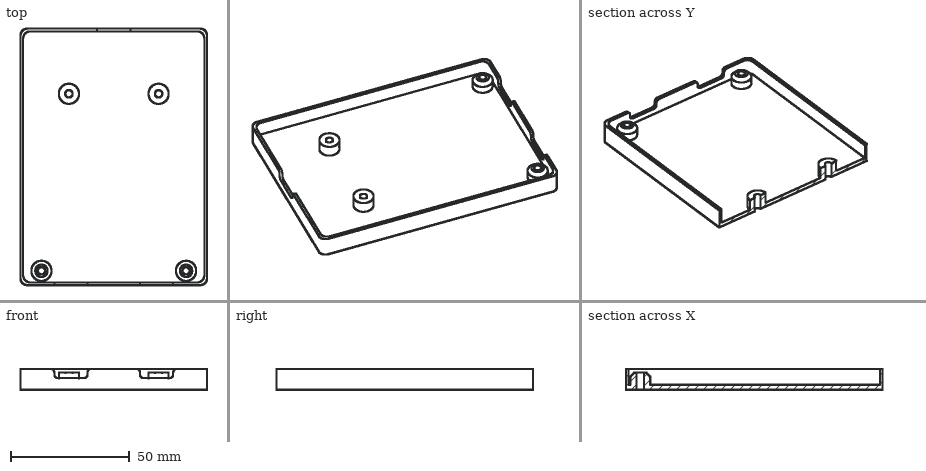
import cadquery as cq

LENGTH_X = 78.52
LENGTH_Y = 107.94
HEIGHT = 8.86
WALL = 1.2
FLOOR = 2.26
CORNER_RADIUS = 3.0

NOTCH_WIDTH = 14.0
NOTCH_DEPTH = 3.9
NOTCH_RADIUS = 1.5
FRONT_NOTCH_X = 18.0
BACK_NOTCH_X = 0.0

POST_DIAMETER = 8.5
HOLE_DIAMETER = 3.02
POST_HEIGHT = 5.0
BACK_POST_X = 18.85
BACK_POST_Y = 26.5
FRONT_POST_X = 30.4
FRONT_POST_Y = -47.9
FRONT_POST_CHAMFER = 1.65


def make_tray():
    """Open box with rounded vertical corners inside and outside."""
    outer = cq.Workplane("XY").box(LENGTH_X, LENGTH_Y, HEIGHT, centered=(True, True, False))
    cavity = (
        cq.Workplane("XY")
        .workplane(offset=FLOOR)
        .box(LENGTH_X - 2 * WALL, LENGTH_Y - 2 * WALL, HEIGHT - FLOOR, centered=(True, True, False))
    )
    return outer.edges("|Z").fillet(CORNER_RADIUS).cut(cavity.edges("|Z").fillet(CORNER_RADIUS))


def make_notch(center_x, wall_y):
    """Cutter through one short wall, with rounded floor corners and a flared, rounded mouth."""
    half_width = NOTCH_WIDTH / 2
    half_mouth = half_width + NOTCH_RADIUS
    half_floor = half_width - NOTCH_RADIUS
    bottom = HEIGHT - NOTCH_DEPTH
    r = NOTCH_RADIUS
    return (
        cq.Workplane("XZ", origin=(center_x, wall_y, 0))
        .moveTo(-half_mouth, HEIGHT)
        .radiusArc((-half_width, HEIGHT - r), r)
        .lineTo(-half_width, bottom + r)
        .radiusArc((-half_floor, bottom), -r)
        .lineTo(half_floor, bottom)
        .radiusArc((half_width, bottom + r), -r)
        .lineTo(half_width, HEIGHT - r)
        .radiusArc((half_mouth, HEIGHT), r)
        .close()
        .extrude(WALL, both=True)
    )


def make_post(x, y):
    """Plain round post rising from the floor."""
    return cq.Workplane("XY", origin=(x, y, 0)).circle(POST_DIAMETER / 2).extrude(FLOOR + POST_HEIGHT)


def make_hole(x, y):
    """Cutter for a hole through a post and the floor below it."""
    return cq.Workplane("XY", origin=(x, y, 0)).circle(HOLE_DIAMETER / 2).extrude(HEIGHT)


result = make_tray()

wall_center_y = (LENGTH_Y - WALL) / 2
for notch_x in (-FRONT_NOTCH_X, FRONT_NOTCH_X):
    result = result.cut(make_notch(notch_x, -wall_center_y))
result = result.cut(make_notch(BACK_NOTCH_X, wall_center_y))

for side in (-1, 1):
    back_x = side * BACK_POST_X
    back_post = make_post(back_x, BACK_POST_Y)
    result = result.union(back_post).cut(make_hole(back_x, BACK_POST_Y))

    front_x = side * FRONT_POST_X
    front_post = make_post(front_x, FRONT_POST_Y).faces(">Z").chamfer(FRONT_POST_CHAMFER)
    result = result.union(front_post).cut(make_hole(front_x, FRONT_POST_Y))